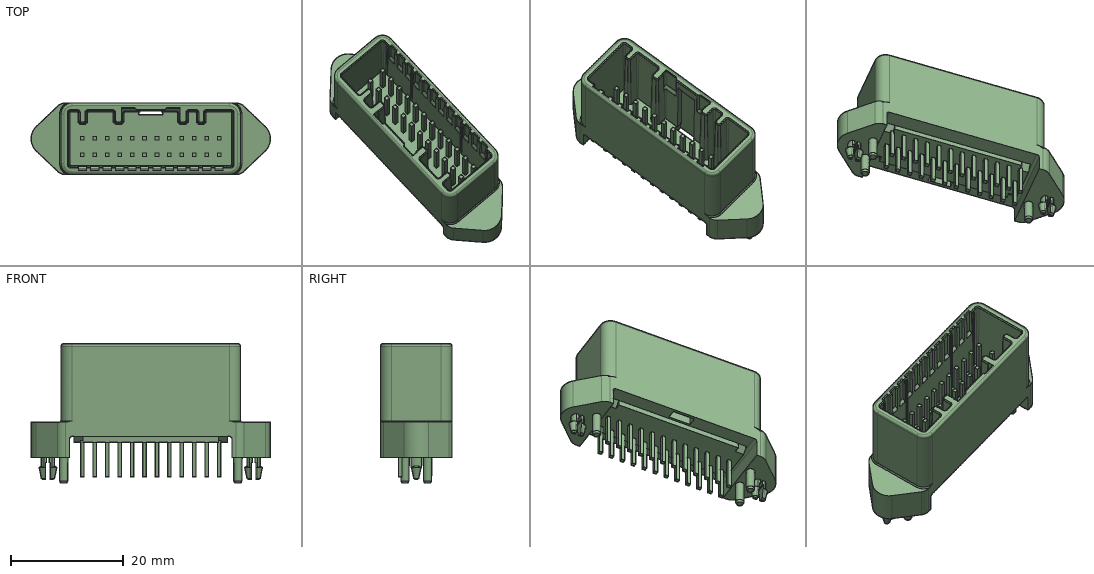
import cadquery as cq
import math

OVERALL_LENGTH = 42.4
DEPTH = 12.7
TOP_Z = 20.2
POST_BOTTOM_Z = -4.5
HALF_DEPTH = DEPTH / 2

SHELL_LENGTH = 31.8
CORNER_RADIUS = 2.0
RIM_FILLET = 0.5
BODY_BOTTOM_Z = 3.76
FOOT_HEIGHT = 0.23

FLANGE_TOP_Z = 6.27
NOSE_RADIUS = 3.0
NOSE_X = OVERALL_LENGTH / 2 - NOSE_RADIUS
FLANGE_CORNER_X = 15.09
LEG_INNER_X = 14.37
LEG_FILLET = 0.5

BASE_BOTTOM_Z = 2.68
BASE_LENGTH = 27.24
BASE_DEPTH = 7.8
BASE_END_LENGTH = 1.64

CAVITY_LENGTH = 29.1
CAVITY_DEPTH = 9.94
CAVITY_FLOOR_Z = 5.5
CAVITY_CORNER_RADIUS = 0.4
WALL_DRAFT = 1.0
RIM_CHAMFER = 0.2
RIM_CHAMFER_ANGLE = 45
CAVITY_BACK_Y = CAVITY_DEPTH / 2
CAVITY_FRONT_Y = -CAVITY_DEPTH / 2

RIBS = (
    (-12.05, 1.23, 2.74),
    (-5.7, 1.48, 2.8),
    (5.7, 1.48, 2.8),
    (8.93, 1.23, 2.74),
)
RIB_TIP_CHAMFER = 0.33
RIB_ROOT_FILLET = 0.35

LATCH_RECESS_HALF_LENGTH = 5.2
LATCH_RECESS_BACK_Y = 5.38
LATCH_RECESS_CHAMFER = 0.15
LATCH_RECESS_FILLET = 0.25
LATCH_LEDGE_Z = 15.6
LATCH_LEDGE_DROP = 0.9
LATCH_BLOCK_FRONT_HALF = 2.4
LATCH_BLOCK_BACK_HALF = 2.85
WINDOW_HALF_LENGTH = 1.9
WINDOW_TOP_Z = 18.1
WINDOW_BACK_Y = 5.85
FLOOR_SLOT_HALF_LENGTH = 2.1
FLOOR_SLOT_FRONT_Y = 4.26

PIN_COUNT = 12
PIN_PITCH = 2.2
PIN_WIDTH = 0.65
PIN_ROWS_Y = (0.1, -2.82)
PIN_BOTTOM_Z = -3.43
PIN_TOP_Z = 13.5

GROOVE_WIDTH = 1.45
GROOVE_BACK_Y = -5.39
GROOVE_BOTTOM_Z = 15.0
GROOVE_RAMP = 1.2
RIDGE_WIDTH = 0.4
RIDGE_FACE_Y = -4.72
RIDGE_TOP_GAP = 0.5
RIDGE_PITCH = 3 * PIN_PITCH
RIDGE_OFFSETS = (-2, -1, 1, 2)

POST_X = 15.42
POST_Y = 2.0
POST_TOP_RADIUS = 0.78
POST_RADIUS = 0.74
POST_TIP_RADIUS = 0.55
POST_TIP_HEIGHT = 0.4
POST_CORNERS = ((-1, -1), (-1, 1), (1, 1))

CLIP_SHANK_RADIUS = 1.2
CLIP_HALF_WIDTH = 0.97
CLIP_SHANK_END_Z = -1.5
CLIP_BARB_Z = -1.75
CLIP_BOTTOM_Z = -3.9
CLIP_BARB_AXIS_X = 0.72
CLIP_BARB_RADIUS = 0.87
CLIP_BARB_TAPER = 12.0
CLIP_SHOULDER_TAPER = 54
CLIP_TIP_CHAMFER = 0.25
CLIP_SLIT_WIDTH = 0.44
CLIP_WIDE_SLIT_WIDTH = 0.8
CLIP_WIDE_SLIT_Z = -0.9

SIDES = (-1, 1)
SELECT_MARGIN = 0.01


def box(x_range, y_range, z_range):
    """Axis-aligned box spanning the three (low, high) ranges."""
    size = [high - low for low, high in (x_range, y_range, z_range)]
    corner = (x_range[0], y_range[0], z_range[0])
    return cq.Workplane("XY").box(*size, centered=False).translate(corner)


def near(x_range, y_range, z_range):
    """Selector for whatever is centred within the three (low, high) ranges."""
    low, high = zip(x_range, y_range, z_range)
    return cq.selectors.BoxSelector(
        [value - SELECT_MARGIN for value in low],
        [value + SELECT_MARGIN for value in high],
    )


def copies(shape, places):
    """Copies of a shape moved to each (X, Y) place."""
    moved = cq.Workplane("XY")
    for x, y in places:
        moved = moved.add(shape.translate((x, y, 0)))
    return moved.combine()


def rounded_prism(length, depth, radius, bottom_z, top_z):
    """Centred upright prism with rounded vertical corners."""
    block = cq.Workplane("XY").box(length, depth, top_z - bottom_z, centered=(True, True, False))
    return block.edges("|Z").fillet(radius).translate((0, 0, bottom_z))


def flange_prism(height):
    """Footprint with a pointed end on each side: round nose, straight flanks, round shoulders."""
    shoulder_y = HALF_DEPTH - CORNER_RADIUS
    spacing_x = FLANGE_CORNER_X - NOSE_X
    spacing = math.hypot(spacing_x, shoulder_y)
    normal = math.atan2(shoulder_y, spacing_x) - math.acos((NOSE_RADIUS - CORNER_RADIUS) / spacing)

    def nose_point(angle):
        return NOSE_X + NOSE_RADIUS * math.cos(angle), NOSE_RADIUS * math.sin(angle)

    def shoulder_point(angle):
        x = FLANGE_CORNER_X + CORNER_RADIUS * math.cos(angle)
        return x, shoulder_y + CORNER_RADIUS * math.sin(angle)

    quarter_turn = math.pi / 2
    shoulder_middle = (normal + quarter_turn) / 2
    quarter = (
        cq.Workplane("XY")
        .lineTo(0, HALF_DEPTH)
        .lineTo(*shoulder_point(quarter_turn))
        .threePointArc(shoulder_point(shoulder_middle), shoulder_point(normal))
        .lineTo(*nose_point(normal))
        .threePointArc(nose_point(normal / 2), nose_point(0))
        .close()
        .extrude(height)
    )
    half = quarter.union(quarter.mirror("XZ"))
    return half.union(half.mirror("YZ")).clean()


def make_body():
    """Shell, end flanges with legs, and the sloped foot where they meet."""
    shell = rounded_prism(SHELL_LENGTH, DEPTH, CORNER_RADIUS, BODY_BOTTOM_Z, TOP_Z)
    shell = shell.faces(">Z").edges().fillet(RIM_FILLET)
    flanges = flange_prism(FLANGE_TOP_Z)
    channel = box((-LEG_INNER_X, LEG_INNER_X), (-HALF_DEPTH, HALF_DEPTH), (0, BODY_BOTTOM_Z))
    channel = channel.edges("|Y and >Z").fillet(LEG_FILLET)
    foot_top_z = FLANGE_TOP_Z + FOOT_HEIGHT
    foot = rounded_prism(
        SHELL_LENGTH + 2 * FOOT_HEIGHT,
        DEPTH + 2 * FOOT_HEIGHT,
        CORNER_RADIUS + FOOT_HEIGHT,
        BODY_BOTTOM_Z,
        foot_top_z,
    )
    foot = foot.faces(">Z").edges().chamfer(FOOT_HEIGHT)
    foot = foot.intersect(flange_prism(foot_top_z))
    return shell.union(flanges).union(foot).cut(channel)


def make_base():
    """Block under the body carrying the pins, with ends whose front and back slope in."""
    half_length = BASE_LENGTH / 2
    half_depth = BASE_DEPTH / 2
    foot_half_depth = half_depth - (BODY_BOTTOM_Z - BASE_BOTTOM_Z)
    half_middle = half_length - BASE_END_LENGTH
    middle = box((-half_middle, half_middle), (-half_depth, half_depth), (BASE_BOTTOM_Z, BODY_BOTTOM_Z))
    sloped = (
        cq.Workplane("YZ")
        .polyline([
            (-half_depth, BODY_BOTTOM_Z),
            (half_depth, BODY_BOTTOM_Z),
            (foot_half_depth, BASE_BOTTOM_Z),
            (-foot_half_depth, BASE_BOTTOM_Z),
        ])
        .close()
        .extrude(half_length, both=True)
    )
    return middle.union(sloped)


def cavity_outline():
    """Cavity cross-section below the mouth chamfer, with the keying ribs left out."""
    outline = cq.Sketch().rect(CAVITY_LENGTH, CAVITY_DEPTH)
    rib_corners = []
    for center_x, width, tip_y in RIBS:
        rib_length = 2 * (CAVITY_BACK_Y - tip_y)
        outline = outline.push([(center_x, CAVITY_BACK_Y)]).rect(width, rib_length, mode="s").reset()
        rib_corners += [(center_x + side * width / 2, tip_y) for side in SIDES]
    for x, y in rib_corners:
        outline = outline.vertices(near((x, x), (y, y), (0, 0))).chamfer(RIB_TIP_CHAMFER).reset()
    span = (-CAVITY_LENGTH, CAVITY_LENGTH)
    for y, radius in ((CAVITY_BACK_Y, RIB_ROOT_FILLET), (CAVITY_FRONT_Y, CAVITY_CORNER_RADIUS)):
        outline = outline.vertices(near(span, (y, y), (0, 0))).fillet(radius).reset()
    return outline


def make_cavity():
    """Drafted pocket, open at the top, with a chamfered mouth."""
    pocket_top_z = TOP_Z - RIM_CHAMFER
    plane = cq.Workplane("XY", origin=(0, 0, pocket_top_z))
    pocket = plane.placeSketch(cavity_outline()).extrude(CAVITY_FLOOR_Z - pocket_top_z, taper=WALL_DRAFT)
    mouth = plane.placeSketch(cavity_outline()).extrude(RIM_CHAMFER, taper=-RIM_CHAMFER_ANGLE)
    return pocket.union(mouth)


def make_latch_cut():
    """Recess beside the central latch block, the window below it and its floor slot."""
    inner_y = LATCH_RECESS_BACK_Y - LATCH_LEDGE_DROP
    block_back_y = LATCH_RECESS_BACK_Y + LATCH_RECESS_CHAMFER
    recess = (
        cq.Workplane("YZ", origin=(-LATCH_RECESS_HALF_LENGTH, 0, 0))
        .moveTo(inner_y, TOP_Z)
        .lineTo(LATCH_RECESS_BACK_Y + LATCH_RECESS_CHAMFER, TOP_Z)
        .lineTo(LATCH_RECESS_BACK_Y, TOP_Z - LATCH_RECESS_CHAMFER)
        .lineTo(LATCH_RECESS_BACK_Y, LATCH_LEDGE_Z)
        .lineTo(inner_y, LATCH_LEDGE_Z - LATCH_LEDGE_DROP)
        .close()
        .extrude(2 * LATCH_RECESS_HALF_LENGTH)
    )
    back_y = (LATCH_RECESS_BACK_Y, LATCH_RECESS_BACK_Y)
    for side in SIDES:
        end_x = side * LATCH_RECESS_HALF_LENGTH
        corner = near((end_x, end_x), back_y, (LATCH_LEDGE_Z, TOP_Z))
        recess = recess.edges(corner).edges("|Z").fillet(LATCH_RECESS_FILLET)
    block = (
        cq.Workplane("XY")
        .polyline([
            (-LATCH_BLOCK_FRONT_HALF, inner_y),
            (-LATCH_BLOCK_FRONT_HALF, CAVITY_BACK_Y),
            (-LATCH_BLOCK_BACK_HALF, block_back_y),
            (LATCH_BLOCK_BACK_HALF, block_back_y),
            (LATCH_BLOCK_FRONT_HALF, CAVITY_BACK_Y),
            (LATCH_BLOCK_FRONT_HALF, inner_y),
        ])
        .close()
        .extrude(TOP_Z)
    )
    window = box(
        (-WINDOW_HALF_LENGTH, WINDOW_HALF_LENGTH),
        (FLOOR_SLOT_FRONT_Y, WINDOW_BACK_Y),
        (CAVITY_FLOOR_Z, WINDOW_TOP_Z),
    )
    slot = box(
        (-FLOOR_SLOT_HALF_LENGTH, FLOOR_SLOT_HALF_LENGTH),
        (FLOOR_SLOT_FRONT_Y, WINDOW_BACK_Y),
        (0, CAVITY_FLOOR_Z),
    )
    return recess.cut(block).union(window).union(slot)


def pin_positions():
    """X of every pin column."""
    return [(index - (PIN_COUNT - 1) / 2) * PIN_PITCH for index in range(PIN_COUNT)]


def make_grooves():
    """Front wall grooves with a chamfered mouth and a bottom ramping out to the wall."""
    inner_y = GROOVE_BACK_Y + GROOVE_RAMP
    groove = (
        cq.Workplane("YZ")
        .moveTo(inner_y, TOP_Z)
        .lineTo(GROOVE_BACK_Y - RIM_CHAMFER, TOP_Z)
        .lineTo(GROOVE_BACK_Y, TOP_Z - RIM_CHAMFER)
        .lineTo(GROOVE_BACK_Y, GROOVE_BOTTOM_Z)
        .lineTo(inner_y, GROOVE_BOTTOM_Z - GROOVE_RAMP)
        .close()
        .extrude(GROOVE_WIDTH / 2, both=True)
    )
    return copies(groove, [(x, 0) for x in pin_positions()])


def make_ridges():
    """Narrow upright ridges on the front wall."""
    ridge = box(
        (-RIDGE_WIDTH / 2, RIDGE_WIDTH / 2),
        (CAVITY_FRONT_Y - RIM_CHAMFER, RIDGE_FACE_Y),
        (CAVITY_FLOOR_Z, TOP_Z - RIDGE_TOP_GAP),
    )
    return copies(ridge, [(offset * RIDGE_PITCH, 0) for offset in RIDGE_OFFSETS])


def make_pins():
    """Two rows of square contact pins running through the floor."""
    half = PIN_WIDTH / 2
    pin = box((-half, half), (-half, half), (PIN_BOTTOM_Z, PIN_TOP_Z))
    return copies(pin, [(x, y) for y in PIN_ROWS_Y for x in pin_positions()])


def make_posts():
    """Slightly tapered locating posts: two under the -X flange, one under the +X flange."""
    post = (
        cq.Workplane("XZ")
        .polyline([
            (0, 0),
            (POST_TOP_RADIUS, 0),
            (POST_RADIUS, POST_BOTTOM_Z + POST_TIP_HEIGHT),
            (POST_TIP_RADIUS, POST_BOTTOM_Z),
            (0, POST_BOTTOM_Z),
        ])
        .close()
        .revolve(360, (0, 0), (0, 1))
    )
    return copies(post, [(x_side * POST_X, y_side * POST_Y) for x_side, y_side in POST_CORNERS])


def make_clips():
    """A split snap clip under each flange: a flat-sided shank ending in a tapered barb."""
    flats = box(
        (-CLIP_SHANK_RADIUS, CLIP_SHANK_RADIUS),
        (-CLIP_HALF_WIDTH, CLIP_HALF_WIDTH),
        (CLIP_BARB_Z, 0),
    )
    shank = cq.Workplane("XY").circle(CLIP_SHANK_RADIUS).extrude(CLIP_BARB_Z).intersect(flats)

    def barb_section(height, taper):
        length = 2 * (CLIP_BARB_AXIS_X + CLIP_BARB_RADIUS)
        plane = cq.Workplane("XY", origin=(0, 0, CLIP_BARB_Z))
        return plane.slot2D(length, 2 * CLIP_BARB_RADIUS).extrude(height, taper=taper)

    barb = barb_section(CLIP_BOTTOM_Z - CLIP_BARB_Z, CLIP_BARB_TAPER)
    barb = barb.faces("<Z").edges().chamfer(CLIP_TIP_CHAMFER)
    shoulder = barb_section(CLIP_SHANK_END_Z - CLIP_BARB_Z, CLIP_SHOULDER_TAPER)

    clip = shank.union(barb).union(shoulder)
    for width, top_z in ((CLIP_SLIT_WIDTH, 0), (CLIP_WIDE_SLIT_WIDTH, CLIP_WIDE_SLIT_Z)):
        slit = box((-width / 2, width / 2), (-HALF_DEPTH, HALF_DEPTH), (CLIP_BOTTOM_Z, top_z))
        clip = clip.cut(slit)
    return copies(clip, [(side * NOSE_X, 0) for side in SIDES])


housing = make_body().union(make_base())
housing = housing.cut(make_cavity()).union(make_ridges())
housing = housing.cut(make_grooves()).cut(make_latch_cut())
result = housing.union(make_pins()).union(make_posts()).union(make_clips())